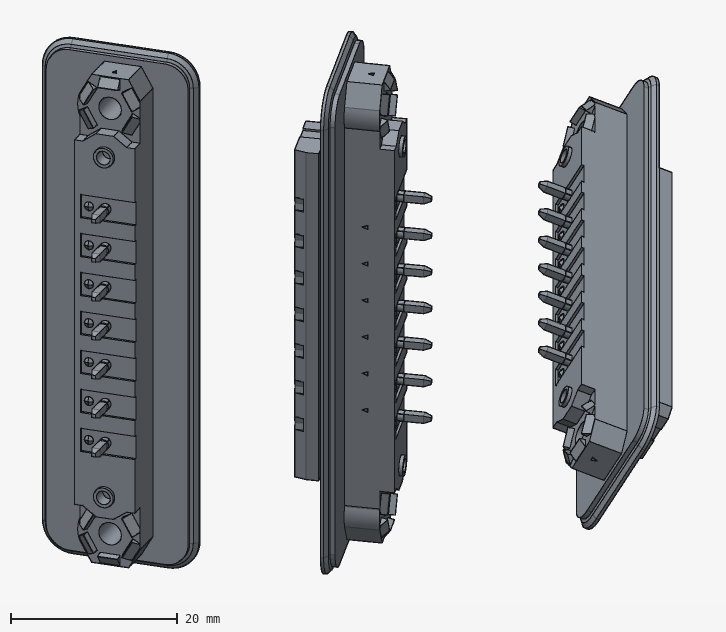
import cadquery as cq
import math


flange_width = 20.1
flange_height = 67.2
flange_corner_radius = 3.9
rim_depth = 0.4
steep_bevel_depth = 0.9
shallow_bevel_depth = 1.0
flange_front = 1.6
steep_bevel_inset = 0.55
front_inset = 0.95

body_x = 0.75
body_width = 7.7
body_front = 7.7
post_front = 5.9
post_z = 27.75
post_apothem = 4.1
post_round_radius = 4.15
screw_hole_diameter = 2.9

step_flat_z = 25.0
step_side_z = 23.8
step_flat_half = 1.15
step_side_half = 2.8

fin_front = 6.7
fin_width = 2.55
fin_inner_base = 2.6
fin_inner_tip = 2.8
fin_outer_tip = 2.9
fin_outer_base = 3.95

boss_z = 22.2
boss_outer_diameter = 2.55
boss_inner_diameter = 1.75
boss_front = 8.2
boss_bore_depth = 2.0

contact_count = 7
contact_span = 30.5
pocket_height = 3.0
pocket_left_x = -2.35
pocket_depth = 0.35
collar_diameter = 1.35
collar_front = 8.2
pin_width = 1.0
pin_shoulder = 10.6
pin_front = 11.5
pin_tip_width = 0.5
point_x = -1.4
point_diameter = 1.15
point_corner = 0.8
point_height = 0.35
point_flat = 0.035

rear_depth = 4.45
rear_height = 45.5
lip_overhang = 0.75
lip_start = 1.4
lip_bevel_start = 2.95
lip_bevel_width = 0.4
rear_corner_chamfer = 1.1
end_groove_left_x = -0.35
end_groove_right_x = 1.7
end_groove_depth = 0.3
notch_height = 1.75
notch_reach = 0.15
notch_depth = 1.15

mark_back = 3.75
mark_length = 0.7
mark_width = 0.55
mark_depth = 0.1

overlap = 0.15

body_left_x = body_x - body_width / 2
body_right_x = body_x + body_width / 2
contact_pitch = contact_span / (contact_count - 1)
contact_heights = [contact_pitch * i - contact_span / 2 for i in range(contact_count)]


def plane_at(depth, x=0.0, z=0.0):
    """Workplane facing -Y, at a depth in front of the flange's back face."""
    return cq.Workplane("XZ", origin=(x, -depth, z))


def hexagon(depth, apothem):
    """Start a hexagon with flat top and bottom around the upper post's axis."""
    return plane_at(depth, body_x, post_z).polygon(6, 2 * apothem / math.cos(math.pi / 6))


def both_ends(shape):
    return shape.union(shape.mirror("XY"))


def flange_layer(start, end, start_inset, end_inset):
    """Rounded plate whose outline shrinks evenly from one inset to another."""

    def outline(depth, inset):
        width = flange_width - 2 * inset
        height = flange_height - 2 * inset
        corner = flange_corner_radius - inset
        return plane_at(depth).sketch().rect(width, height).vertices().fillet(corner).finalize()

    if start_inset == end_inset:
        return outline(start, start_inset).extrude(end - start)
    taper = math.degrees(math.atan2(end_inset - start_inset, end - start))
    return outline(start, start_inset).extrude(end - start, taper=taper)


def make_flange():
    flange = flange_layer(0, rim_depth, 0, 0)
    flange = flange.union(flange_layer(rim_depth, steep_bevel_depth, 0, steep_bevel_inset))
    flange = flange.union(
        flange_layer(steep_bevel_depth, shallow_bevel_depth, steep_bevel_inset, front_inset)
    )
    return flange.union(flange_layer(shallow_bevel_depth, flange_front, front_inset, front_inset))


def make_body():
    """Bar between the posts, its front raised and stepped at both ends."""
    bar = plane_at(0, body_x).rect(body_width, 2 * post_z).extrude(post_front)
    half = body_width / 2
    top = [
        (half, step_side_z),
        (step_side_half, step_side_z),
        (step_flat_half, step_flat_z),
    ]
    right = [(x, -z) for x, z in reversed(top)] + top
    left = [(-x, -z) for x, z in right]
    raised = plane_at(0, body_x).polyline(right + left).close().extrude(body_front)
    return bar.union(raised)


def body_width_slab():
    """Block as wide as the body around the upper post, for trimming."""
    return plane_at(0, body_x, post_z).rect(body_width, 2 * post_apothem).extrude(body_front)


def make_post():
    """Upper screw post: a hexagon, its left corner rounded and its right corner cut flush with the body."""
    post = hexagon(0, post_apothem).extrude(post_front)
    rounding = plane_at(0, body_x, post_z).circle(post_round_radius).extrude(post_front)
    left_part = plane_at(0, body_left_x, post_z).rect(body_width, 2 * post_apothem).extrude(post_front)
    post = post.intersect(body_width_slab().union(rounding.intersect(left_part)))
    return post.union(make_fins())


def make_fins():
    """Five bevelled fins around the nut seat, trimmed to the body's width.

    The sixth side of the seat is the stepped end of the body.
    """
    profile = [
        (-post_front + overlap, fin_inner_base),
        (-post_front, fin_inner_base),
        (-fin_front, fin_inner_tip),
        (-fin_front, fin_outer_tip),
        (-post_front, fin_outer_base),
        (-post_front + overlap, fin_outer_base),
    ]
    upright = cq.Workplane("YZ").polyline(profile).close().extrude(fin_width / 2, both=True)
    fins = upright
    for angle in (-120, -60, 60, 120):
        fins = fins.union(upright.rotate((0, 0, 0), (0, 1, 0), angle))
    fins = fins.translate((body_x, 0, post_z))
    return fins.intersect(body_width_slab())


def screw_hole_cutter():
    start = plane_at(-overlap, body_x, post_z)
    return start.circle(screw_hole_diameter / 2).extrude(body_front)


def make_boss():
    start = plane_at(body_front - overlap, body_x, boss_z)
    return start.circle(boss_outer_diameter / 2).extrude(boss_front - body_front + overlap)


def boss_bore_cutter():
    start = plane_at(boss_front - boss_bore_depth, body_x, boss_z)
    return start.circle(boss_inner_diameter / 2).extrude(boss_bore_depth + overlap)


def contact_pocket_cutter(z):
    """Shallow pocket in the body's front face, open towards +X."""
    width = body_right_x - pocket_left_x
    start = plane_at(body_front - pocket_depth, pocket_left_x + width / 2, z)
    return start.rect(width, pocket_height).extrude(pocket_depth)


def make_contact(z):
    """Collared square pin with a tapered tip."""
    floor = body_front - pocket_depth
    collar = plane_at(floor - overlap, body_x, z).circle(collar_diameter / 2)
    contact = collar.extrude(collar_front - floor + overlap)
    shank = plane_at(floor, body_x, z).rect(pin_width, pin_width).extrude(pin_shoulder - floor)
    tip = (
        plane_at(pin_shoulder, body_x, z)
        .rect(pin_width, pin_width)
        .workplane(offset=pin_front - pin_shoulder)
        .rect(pin_tip_width, pin_tip_width)
        .loft()
    )
    return contact.union(shank).union(tip)


def make_point(z):
    """Low four-sided pyramid with its ridges upright and level, trimmed round."""
    floor = body_front - pocket_depth
    slope = math.degrees(math.atan2(point_corner / math.sqrt(2), point_height))
    side = point_corner * math.sqrt(2)
    base = plane_at(floor, point_x, z).transformed(rotate=(0, 0, 45)).rect(side, side)
    pyramid = base.extrude(point_height - point_flat, taper=slope)
    return pyramid.intersect(plane_at(floor, point_x, z).circle(point_diameter / 2).extrude(point_height))


def make_rear_block():
    """Block behind the flange, bevelled along the lip, with a shallow groove in each end."""
    lip_x = body_left_x - lip_overhang
    profile = [
        (body_left_x, -overlap),
        (body_right_x, -overlap),
        (body_right_x, rear_depth),
        (lip_x + lip_bevel_width, rear_depth),
        (lip_x, lip_bevel_start),
        (lip_x, lip_start),
        (body_left_x, lip_start),
    ]
    block = cq.Workplane("XY").polyline(profile).close().extrude(rear_height / 2, both=True)
    block = block.edges("|Y and >X").chamfer(rear_corner_chamfer)
    groove_width = end_groove_right_x - end_groove_left_x
    groove_bottom = (end_groove_left_x, 0, rear_height / 2 - end_groove_depth)
    groove = cq.Workplane("XY", origin=groove_bottom).box(
        groove_width, rear_depth, end_groove_depth, centered=False
    )
    return block.cut(both_ends(groove))


def lip_notch_cutter(z):
    """Shallow V-bottomed notch in the lip's rear edge."""
    lip_x = body_left_x - lip_overhang
    half = notch_height / 2
    bevel_x = lip_x + lip_bevel_width
    outline = [
        (lip_x, half),
        (bevel_x, half),
        (bevel_x + notch_reach, 0),
        (bevel_x, -half),
        (lip_x, -half),
    ]
    return plane_at(-rear_depth, 0, z).polyline(outline).close().extrude(notch_depth)


def mark_outline(plane):
    """Triangle in a plane whose local axes are the mark's width and -Y."""
    half = mark_width / 2
    front = mark_back + mark_length
    return plane.polyline([(0, mark_back), (half, front), (-half, front)]).close()


def side_mark_cutter(z):
    plane = cq.Workplane(cq.Plane((body_left_x, 0, z), xDir=(0, 0, 1), normal=(1, 0, 0)))
    return mark_outline(plane).extrude(mark_depth)


def end_mark_cutter():
    plane = cq.Workplane(cq.Plane((body_x, 0, post_z + post_apothem), xDir=(1, 0, 0), normal=(0, 0, -1)))
    return mark_outline(plane).extrude(mark_depth)


result = make_flange().union(make_body()).union(both_ends(make_post())).union(make_rear_block())
result = result.union(both_ends(make_boss()))
result = result.cut(both_ends(boss_bore_cutter())).cut(both_ends(screw_hole_cutter()))
for contact_z in contact_heights:
    result = result.cut(contact_pocket_cutter(contact_z)).cut(lip_notch_cutter(contact_z))
    result = result.union(make_contact(contact_z)).union(make_point(contact_z))
result = result.cut(both_ends(end_mark_cutter()))
for lower_z, upper_z in zip(contact_heights, contact_heights[1:]):
    result = result.cut(side_mark_cutter((lower_z + upper_z) / 2))